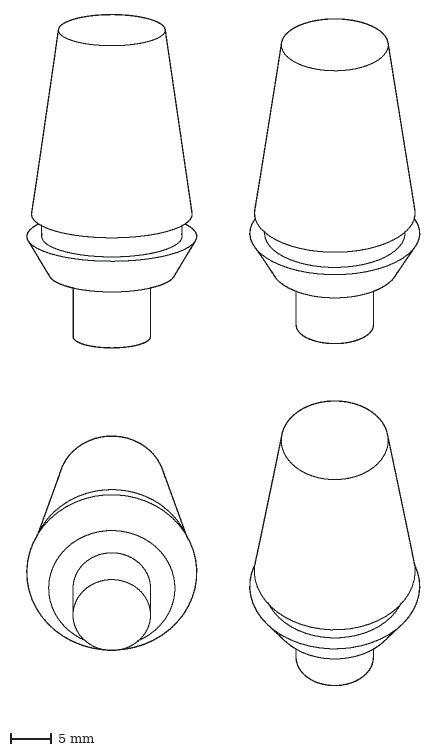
import cadquery as cq

total_height = 39.7
stem_height = 8.18
collar_height = 4.8
neck_height = 2.85
handle_height = total_height - stem_height - collar_height - neck_height

stem_diameter = 9.6
collar_bottom_diameter = 15.65
collar_top_diameter = 21.1
neck_diameter = 17.4
handle_bottom_diameter = 19.93
handle_top_diameter = 13.25


def round_section(base_z, height, bottom_diameter, top_diameter):
    """Straight or tapered round section standing on base_z."""
    profile = [
        (0, base_z),
        (bottom_diameter / 2, base_z),
        (top_diameter / 2, base_z + height),
        (0, base_z + height),
    ]
    return cq.Workplane("XZ").polyline(profile).close().revolve(360, (0, 0), (0, 1))


collar_base = stem_height
neck_base = collar_base + collar_height
handle_base = neck_base + neck_height

stem = round_section(0, stem_height, stem_diameter, stem_diameter)
collar = round_section(collar_base, collar_height, collar_bottom_diameter, collar_top_diameter)
neck = round_section(neck_base, neck_height, neck_diameter, neck_diameter)
handle = round_section(handle_base, handle_height, handle_bottom_diameter, handle_top_diameter)

result = stem.union(collar).union(neck).union(handle)